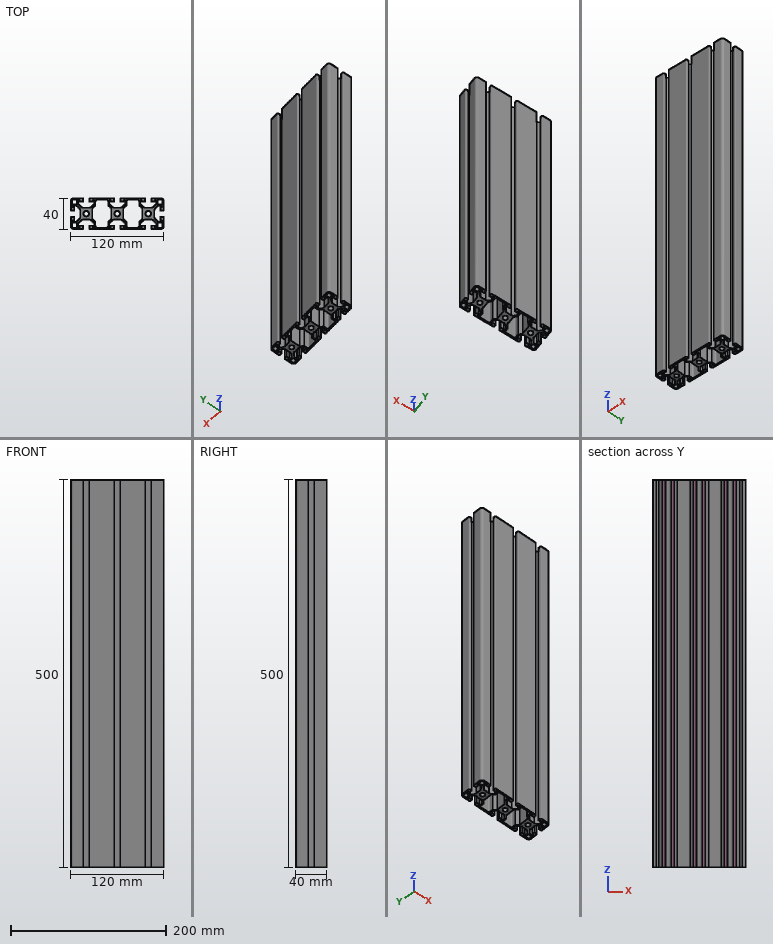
import cadquery as cq

cell = 40.0
cell_count = 3
length = 500.0
corner_radius = 3.9

slot_opening = 8.0
mouth_radius = 1.0
lip_thickness = 4.5
lip_hook_width = 4.6
slot_inner_width = 20.4
slot_floor_width = 11.0
floor_fillet = 5.0
core_width = 15.6

bore_diameter = 6.8
corner_hollow_size = 6.0
corner_hollow_fillet = 0.5
corner_hollow_inset = 5.0
skin_thickness = 2.0
lip_root_thickness = 2.4
web_thickness = 1.7
chamber_core_face = 13.6
chamber_fillet = 2.0

half_cell = cell / 2
width = cell * cell_count
half_core = core_width / 2
outer_cell_x = cell * (cell_count - 1) / 2
cell_centres = [cell * i - outer_cell_x for i in range(cell_count)]
chamber_centres = [(a + b) / 2 for a, b in zip(cell_centres, cell_centres[1:])]
web_outer_face = slot_inner_width / 2 + web_thickness


def prism(points):
    """Full-length prism over a closed polygon."""
    return cq.Workplane("XY").polyline(points).close().extrude(length)


def slot_mouth_blank():
    """Slot opening whose sides flare out tangentially to the outer face."""
    edge = slot_opening / 2
    start_y = half_cell - mouth_radius
    return (
        cq.Workplane("XY")
        .moveTo(-edge, half_core)
        .lineTo(edge, half_core)
        .lineTo(edge, start_y)
        .radiusArc((edge + mouth_radius, half_cell), mouth_radius)
        .lineTo(-edge - mouth_radius, half_cell)
        .radiusArc((-edge, start_y), mouth_radius)
        .close()
        .extrude(length)
    )


def t_slot(cell_x, angle):
    """T-slot of one cell, opening toward +Y and then turned about the cell axis."""
    hook_x = slot_opening / 2 + lip_hook_width
    inner_x = slot_inner_width / 2
    floor_x = slot_floor_width / 2
    half_outline = [
        (slot_opening / 2, half_cell - lip_thickness),
        (hook_x, half_cell - lip_thickness),
        (hook_x, half_cell - lip_root_thickness),
        (inner_x, half_cell - lip_root_thickness),
        (inner_x, half_core + inner_x - floor_x),
        (floor_x, half_core),
    ]
    mirrored = [(-x, y) for x, y in reversed(half_outline)]
    slot = prism(half_outline + mirrored).faces("<Y").edges("|Z").fillet(floor_fillet)
    slot = slot.union(slot_mouth_blank())
    return slot.rotate((0, 0, 0), (0, 0, 1), angle).translate((cell_x, 0, 0))


def chamber(centre_x):
    """Large hollow between two neighbouring cells, narrowing at 45 degrees toward the cores."""
    roof_x = half_cell - web_outer_face
    core_x = half_cell - half_core
    roof_y = half_cell - skin_thickness
    core_y = chamber_core_face / 2
    quarter = [
        (core_x, core_y),
        (roof_x, core_y + core_x - roof_x),
        (roof_x, roof_y),
    ]
    upper = quarter + [(-x, y) for x, y in reversed(quarter)]
    lower = [(-x, -y) for x, y in upper]
    hollow = prism(upper + lower)
    for side in (">Y", "<Y"):
        hollow = hollow.faces(side).edges("|Z").fillet(chamber_fillet)
    return hollow.translate((centre_x, 0, 0))


def corner_hollows():
    """Rounded square hollows behind the four outer corners of the profile."""
    return (
        cq.Workplane("XY")
        .rect(width - 2 * corner_hollow_inset, cell - 2 * corner_hollow_inset, forConstruction=True)
        .vertices()
        .rect(corner_hollow_size, corner_hollow_size)
        .extrude(length)
        .edges("|Z")
        .fillet(corner_hollow_fillet)
    )


def bores():
    """Round bore through the core of every cell."""
    axes = [(x, 0) for x in cell_centres]
    return cq.Workplane("XY").pushPoints(axes).circle(bore_diameter / 2).extrude(length)


profile = cq.Workplane("XY").rect(width, cell).extrude(length)
profile = profile.edges("|Z").fillet(corner_radius)

for x in cell_centres:
    profile = profile.cut(t_slot(x, 0)).cut(t_slot(x, 180))
profile = profile.cut(t_slot(outer_cell_x, -90)).cut(t_slot(-outer_cell_x, 90))

for x in chamber_centres:
    profile = profile.cut(chamber(x))

result = profile.cut(corner_hollows()).cut(bores())